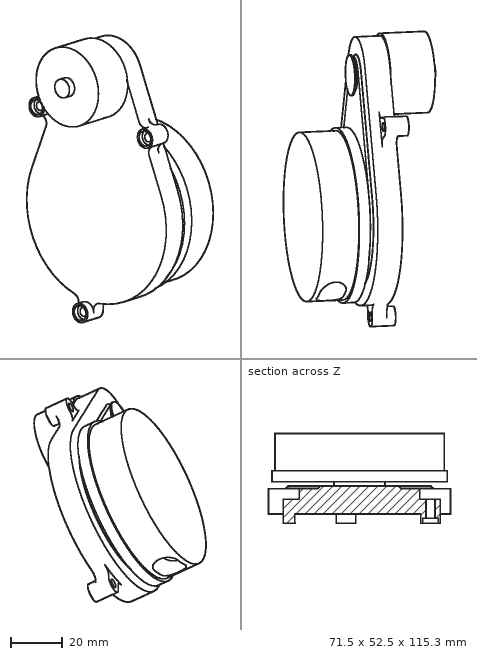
import cadquery as cq
import math


BIG_RADIUS = 71.5 / 2
SMALL_RADIUS = 15.0
MOTOR_Z = 55.6
PLATE_BACK = 10.0

PANEL_BACK = 11.1
PANEL_INSET = 6.9
PANEL_CHAMFER = 0.9

MOTOR_RADIUS = 32.0 / 2
MOTOR_FRONT = -17.8
BOSS_RADIUS = 7.5 / 2
BOSS_FRONT = -20.9

RIM_RADIUS = 8.0
RIM_FRONT = 12.1
RIM_BACK = 12.7
CONE_RADIUS = 6.0

LUG_CENTERS = [(-27.6, 39.7), (27.8, 36.6), (-5.3, -39.9)]
LUG_RADIUS = 7.7 / 2
LUG_FRONT = -3.6
LUG_BACK = 5.9
WEB_LENGTH = 3 * LUG_RADIUS
WEB_FILLET = 3.0
WEB_CORNER_MARGIN = 0.3
SCREW_HOLE_RADIUS = 1.7
COUNTERBORE_RADIUS = 3.0
COUNTERBORE_DEPTH = 2.0

HUB_RADIUS = 10.0
FLANGE_RADIUS = 34.4
FLANGE_FRONT = 12.7
DRUM_RADIUS = 33.2
DRUM_FRONT = 17.1
DRUM_BACK = 31.6

WINDOW_RADIUS = 5.2
WINDOW_OUTER_X = -25.2
WINDOW_INNER_X = -9.3
WINDOW_FLOOR_Z = -13.9

SIDE_SINE = (BIG_RADIUS - SMALL_RADIUS) / MOTOR_Z
SIDE_COSINE = math.sqrt(1 - SIDE_SINE**2)


def cylinder(radius, front, back, x=0.0, z=0.0):
    """Cylinder along Y between two Y positions."""
    return cq.Workplane("XZ", origin=(x, front, z)).circle(radius).extrude(front - back)


def teardrop(front, back, inset=0.0):
    """Plate outline, moved inwards by an inset, as a prism between two Y positions."""
    big = BIG_RADIUS - inset
    small = SMALL_RADIUS - inset
    big_x = big * SIDE_COSINE
    big_z = big * SIDE_SINE
    small_x = small * SIDE_COSINE
    small_z = MOTOR_Z + small * SIDE_SINE
    return (
        cq.Workplane("XZ", origin=(0, front, 0))
        .moveTo(-big_x, big_z)
        .threePointArc((0, -big), (big_x, big_z))
        .lineTo(small_x, small_z)
        .threePointArc((0, MOTOR_Z + small), (-small_x, small_z))
        .close()
        .extrude(front - back)
    )


def inward_direction(x):
    """X, Z direction square to the plate's straight side, from a side lug into the plate."""
    return -math.copysign(SIDE_COSINE, x), -SIDE_SINE


def lug_web(x, z):
    """Straight bar as wide as the lug, running from the lug into the plate."""
    inward_x, inward_z = inward_direction(x) if z > 0 else (0, 1)
    side_x, side_z = -inward_z * LUG_RADIUS, inward_x * LUG_RADIUS
    end_x, end_z = x + inward_x * WEB_LENGTH, z + inward_z * WEB_LENGTH
    return (
        cq.Workplane("XZ")
        .moveTo(x + side_x, z + side_z)
        .lineTo(x - side_x, z - side_z)
        .lineTo(end_x - side_x, end_z - side_z)
        .lineTo(end_x + side_x, end_z + side_z)
        .close()
        .extrude(-LUG_BACK)
    )


def is_web_corner(edge):
    """True for an edge along Y where a lug's web meets the plate outline."""
    middle = edge.Center()
    nearest_lug = min(math.hypot(middle.x - x, middle.z - z) for x, z in LUG_CENTERS)
    return LUG_RADIUS + WEB_CORNER_MARGIN < nearest_lug < 2 * LUG_RADIUS


def lug_layer():
    """Front layer of the plate with the filleted webs that carry the lugs."""
    layer = teardrop(0, LUG_BACK)
    for x, z in LUG_CENTERS:
        layer = layer.union(lug_web(x, z)).union(cylinder(LUG_RADIUS, 0, LUG_BACK, x, z))
    corners = [edge for edge in layer.edges("|Y").vals() if is_web_corner(edge)]
    return layer.newObject(corners).fillet(WEB_FILLET)


def pulley():
    """Rim and cone, turned about the motor axis."""
    return (
        cq.Workplane("XY")
        .polyline([
            (0, PANEL_BACK),
            (CONE_RADIUS, PANEL_BACK),
            (RIM_RADIUS, RIM_FRONT),
            (RIM_RADIUS, RIM_BACK),
            (0, RIM_BACK),
        ])
        .close()
        .revolve(360, (0, 0, 0), (0, 1, 0))
        .translate((0, 0, MOTOR_Z))
    )


def make_base():
    """Gearbox plate with its panel, motor, pulley and screw lugs."""
    panel = teardrop(PLATE_BACK, PANEL_BACK, PANEL_INSET).faces(">Y").chamfer(PANEL_CHAMFER)
    base = lug_layer().union(teardrop(0, PLATE_BACK)).union(panel)
    base = base.union(cylinder(MOTOR_RADIUS, MOTOR_FRONT, 0, z=MOTOR_Z))
    base = base.union(cylinder(BOSS_RADIUS, BOSS_FRONT, MOTOR_FRONT, z=MOTOR_Z))
    base = base.union(pulley())
    for x, z in LUG_CENTERS:
        base = base.union(cylinder(LUG_RADIUS, LUG_FRONT, 0, x, z))
    for x, z in LUG_CENTERS:
        base = base.cut(cylinder(SCREW_HOLE_RADIUS, LUG_FRONT, LUG_BACK, x, z))
        base = base.cut(cylinder(COUNTERBORE_RADIUS, LUG_FRONT, LUG_FRONT + COUNTERBORE_DEPTH, x, z))
    return base


def drum_window():
    """Upright round-ended slot that breaks out through the lower left of the drum."""
    middle_x = (WINDOW_OUTER_X + WINDOW_INNER_X) / 2
    middle_y = (DRUM_FRONT + DRUM_BACK) / 2
    return (
        cq.Workplane("XY", origin=(middle_x, middle_y, WINDOW_FLOOR_Z))
        .slot2D(WINDOW_INNER_X - WINDOW_OUTER_X, 2 * WINDOW_RADIUS)
        .extrude(-DRUM_RADIUS)
    )


def make_drum():
    """Rotating drum with its flange, its hub against the panel and its window."""
    drum = cylinder(HUB_RADIUS, PANEL_BACK, FLANGE_FRONT)
    drum = drum.union(cylinder(FLANGE_RADIUS, FLANGE_FRONT, DRUM_FRONT))
    drum = drum.union(cylinder(DRUM_RADIUS, DRUM_FRONT, DRUM_BACK))
    return drum.cut(drum_window())


base = make_base()
drum = make_drum()
result = cq.Compound.makeCompound([base.solids().val(), drum.solids().val()])